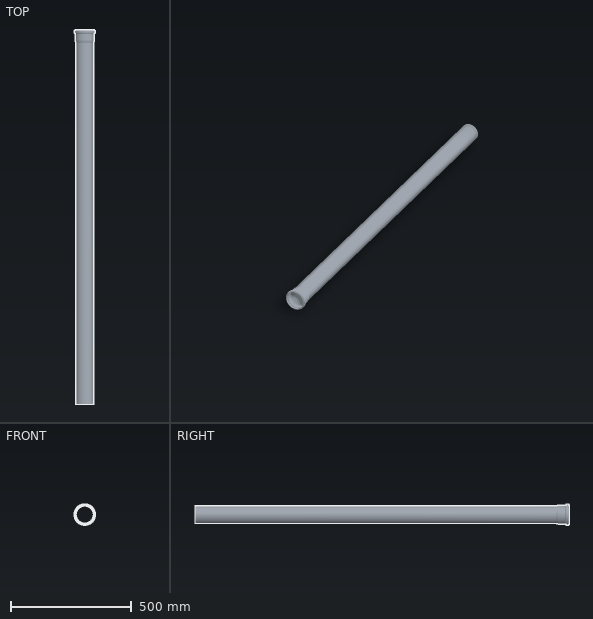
import cadquery as cq
import math

total_length = 1555.0
pipe_outer_diameter = 75.3
pipe_bore_diameter = 70.9
socket_bore_diameter = 76.3
bead_bore_diameter = 85.2
socket_wall = 2.0

socket_depth = 47.0
shoulder_length = 9.0
mouth_lip_length = 1.0
bead_end_depth = 17.5

bead_height = (bead_bore_diameter - socket_bore_diameter) / 2
outer_foot_radius = 2.0
outer_crest_radius = bead_height - outer_foot_radius

inner_foot_radius = outer_foot_radius + socket_wall
inner_crest_radius = outer_crest_radius - socket_wall

plain_end = -total_length / 2
mouth_end = total_length / 2
socket_end = mouth_end - socket_depth
shoulder_end = socket_end - shoulder_length
bead_rear = mouth_end - bead_end_depth
bead_front = mouth_end - mouth_lip_length


def bead_outline(wire, socket_radius, foot_radius, crest_radius):
    """Continue an (axis, radius) outline over the bead, from its rear foot to its front foot."""
    diagonal = math.sqrt(0.5)
    foot_rise = foot_radius * (1 - diagonal)
    foot_run = foot_radius * diagonal
    crest_rise = crest_radius * diagonal
    crest_run = crest_radius * (1 - diagonal)

    flank_radius = socket_radius + foot_radius
    crest_level = flank_radius + crest_radius
    rear_flank = bead_rear + foot_radius
    front_flank = bead_front - foot_radius

    return (
        wire
        .threePointArc((bead_rear + foot_run, socket_radius + foot_rise), (rear_flank, flank_radius))
        .threePointArc(
            (rear_flank + crest_run, flank_radius + crest_rise),
            (rear_flank + crest_radius, crest_level),
        )
        .lineTo(front_flank - crest_radius, crest_level)
        .threePointArc(
            (front_flank - crest_run, flank_radius + crest_rise),
            (front_flank, flank_radius),
        )
        .threePointArc((bead_front - foot_run, socket_radius + foot_rise), (bead_front, socket_radius))
    )


def turned_body(pipe_diameter, socket_diameter, foot_radius, crest_radius):
    """Solid of revolution: plain pipe, conical shoulder, socket and bead."""
    pipe_radius = pipe_diameter / 2
    socket_radius = socket_diameter / 2
    wire = (
        cq.Workplane("YZ")
        .moveTo(plain_end, 0)
        .lineTo(plain_end, pipe_radius)
        .lineTo(shoulder_end, pipe_radius)
        .lineTo(socket_end, socket_radius)
        .lineTo(bead_rear, socket_radius)
    )
    wire = bead_outline(wire, socket_radius, foot_radius, crest_radius)
    profile = wire.lineTo(mouth_end, socket_radius).lineTo(mouth_end, 0).close()
    return profile.revolve(360, (0, 0, 0), (1, 0, 0))


socket_outer_diameter = socket_bore_diameter + 2 * socket_wall
outside = turned_body(pipe_outer_diameter, socket_outer_diameter, outer_foot_radius, outer_crest_radius)
bore = turned_body(pipe_bore_diameter, socket_bore_diameter, inner_foot_radius, inner_crest_radius)

result = outside.cut(bore)